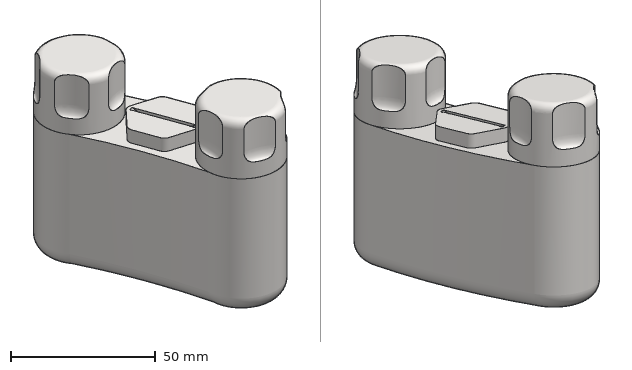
import cadquery as cq
import math

TOTAL_LENGTH = 95.2
END_DIAMETER = 31.7
END_RADIUS = END_DIAMETER / 2
END_X = TOTAL_LENGTH / 2 - END_RADIUS
TOTAL_DEPTH = 34.2
HOUSING_HEIGHT = 54.5
BOTTOM_FILLET = 6.4
BACK_BOW_Y = TOTAL_DEPTH - END_RADIUS
FRONT_BOW_Y = -13.7
FRONT_SEAM_X = 27.2

TOTAL_HEIGHT = 77.4
CAP_HEIGHT = TOTAL_HEIGHT - HOUSING_HEIGHT
CAP_FILLET = 3.1
FLUTE_COUNT = 5
FLUTE_RADIUS = 22.9
FLUTE_DEPTH = 2.0
FLUTE_FLOOR = 6.4
FLUTE_RIM_WIDTH = 1.9
FLUTE_RIM_HEIGHT = 4.2

HEX_WIDTH = 25.4
HEX_HEIGHT = 5.3
HEX_CORNER_RADIUS = 3.1
HEX_Y = (BACK_BOW_Y + FRONT_BOW_Y) / 2
SLOT_LENGTH = HEX_WIDTH
SLOT_WIDTH = 1.6
SLOT_DISC_RADIUS = 26.9


def make_housing():
    rise = BACK_BOW_Y - END_RADIUS
    back_radius = (END_X**2 + BACK_BOW_Y**2 - END_RADIUS**2) / (2 * rise)
    lean = math.asin(END_X / (back_radius - END_RADIUS))
    back_x = END_X + END_RADIUS * math.sin(lean)
    back_y = END_RADIUS * math.cos(lean)
    front_y = -math.sqrt(END_RADIUS**2 - (END_X - FRONT_SEAM_X) ** 2)
    return (
        cq.Workplane("XY")
        .moveTo(-back_x, back_y)
        .threePointArc((0, BACK_BOW_Y), (back_x, back_y))
        .threePointArc((END_X + END_RADIUS, 0), (FRONT_SEAM_X, front_y))
        .threePointArc((0, FRONT_BOW_Y), (-FRONT_SEAM_X, front_y))
        .threePointArc((-END_X - END_RADIUS, 0), (-back_x, back_y))
        .close()
        .extrude(HOUSING_HEIGHT)
        .faces("<Z")
        .edges()
        .fillet(BOTTOM_FILLET)
    )


def make_flute_cutter():
    centre_x = END_RADIUS - FLUTE_DEPTH + FLUTE_RADIUS
    flat_radius = FLUTE_RADIUS - FLUTE_RIM_WIDTH
    half_profile = (
        cq.Workplane("XZ")
        .lineTo(flat_radius, 0)
        .ellipseArc(FLUTE_RIM_WIDTH, FLUTE_RIM_HEIGHT, 270, 360, startAtCurrent=True)
        .lineTo(FLUTE_RADIUS, CAP_HEIGHT)
        .lineTo(0, CAP_HEIGHT)
        .close()
    )
    cutter = half_profile.revolve(360, (0, 0, 0), (0, 1, 0))
    return cutter.translate((centre_x, 0, FLUTE_FLOOR))


def make_cap(side):
    cap = cq.Workplane("XY").circle(END_RADIUS).extrude(CAP_HEIGHT)
    cap = cap.faces(">Z").edges().fillet(CAP_FILLET)
    first_angle = 0 if side < 0 else 180
    cutter = make_flute_cutter()
    for i in range(FLUTE_COUNT):
        angle = first_angle + i * 360 / FLUTE_COUNT
        cap = cap.cut(cutter.rotate((0, 0, 0), (0, 0, 1), angle))
    return cap.translate((side * END_X, 0, HOUSING_HEIGHT))


def make_plug():
    corner_diameter = HEX_WIDTH / math.cos(math.pi / 6)
    plug = cq.Workplane("XY").polygon(6, corner_diameter).extrude(HEX_HEIGHT)
    plug = plug.edges("|Z").fillet(HEX_CORNER_RADIUS)
    disc_rise = math.sqrt(SLOT_DISC_RADIUS**2 - (SLOT_LENGTH / 2) ** 2)
    disc = (
        cq.Workplane("XZ", origin=(0, SLOT_WIDTH / 2, HEX_HEIGHT + disc_rise))
        .circle(SLOT_DISC_RADIUS)
        .extrude(SLOT_WIDTH)
    )
    return plug.cut(disc).translate((0, HEX_Y, HOUSING_HEIGHT))


housing = make_housing()
caps = [make_cap(side) for side in (-1, 1)]
plug = make_plug()

result = cq.Compound.makeCompound([housing.val(), *[cap.val() for cap in caps], plug.val()])